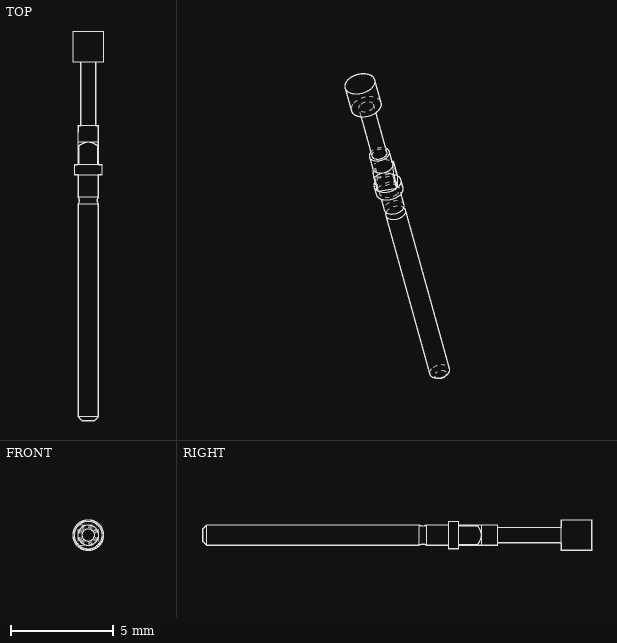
import cadquery as cq


head_diameter = 1.5
plunger_diameter = 0.75
barrel_diameter = 1.0
collar_diameter = 1.35
tail_tip_diameter = 0.6

total_length = 19.0
head_length = 1.5
plunger_length = 3.1
neck_length = 0.8
square_length = 1.1
collar_length = 0.5

square_across_flats = barrel_diameter
tail_chamfer_length = 0.2

groove_offset = 1.08
groove_width = 0.35
groove_depth = 0.055

collar_top = collar_length
square_top = collar_top + square_length
neck_top = square_top + neck_length
plunger_top = neck_top + plunger_length
head_top = plunger_top + head_length
tail_end = head_top - total_length


def cylinder(diameter, y_start, y_end):
    """Cylinder on the Y axis between two stations."""
    base = cq.Workplane("XZ", origin=(0, y_start, 0))
    return base.circle(diameter / 2).extrude(y_start - y_end)


def barrel():
    """Revolved barrel with a chamfered tail and a round-bottomed groove."""
    radius = barrel_diameter / 2
    groove_middle = -groove_offset - groove_width / 2
    profile = (
        cq.Workplane("XY")
        .moveTo(0, tail_end)
        .lineTo(tail_tip_diameter / 2, tail_end)
        .lineTo(radius, tail_end + tail_chamfer_length)
        .lineTo(radius, -groove_offset - groove_width)
        .threePointArc((radius - groove_depth, groove_middle), (radius, -groove_offset))
        .lineTo(radius, neck_top)
        .lineTo(0, neck_top)
        .close()
    )
    return profile.revolve(360, (0, 0, 0), (0, 1, 0))


def square_drive():
    """Square section with corners turned to the collar diameter and a 45 degree lead-in."""
    lead_in = (collar_diameter - barrel_diameter) / 2
    turned = cylinder(collar_diameter, collar_top, square_top).faces(">Y").chamfer(lead_in)
    square = (
        cq.Workplane("XZ", origin=(0, collar_top, 0))
        .rect(square_across_flats, square_across_flats)
        .extrude(-square_length)
    )
    return turned.intersect(square)


collar = cylinder(collar_diameter, 0, collar_top)
plunger = cylinder(plunger_diameter, neck_top, plunger_top)
head = cylinder(head_diameter, plunger_top, head_top)

result = barrel().union(collar).union(square_drive()).union(plunger).union(head)